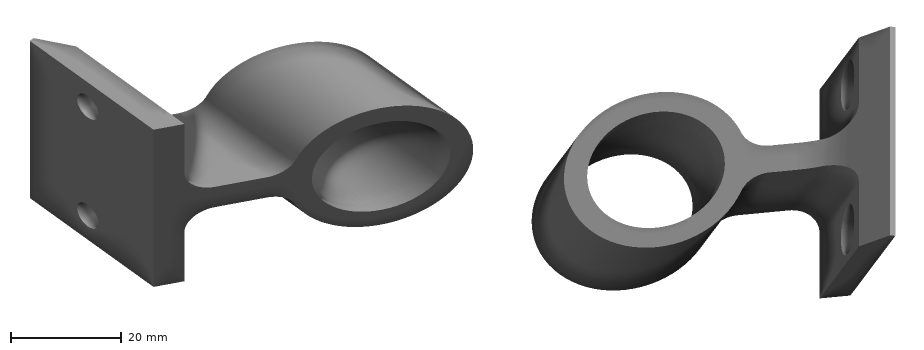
import cadquery as cq
import math

plate_thickness = 5.0
plate_height = 40.5
edge_thickness = 1.0

socket_radius = 15.0
bore_radius = 11.2
socket_y = 36.95
web_thickness = 5.2
fillet_radius = 5.0

total_length = 62
steep_angle = math.radians(60)
shallow_angle = math.radians(30)
socket_length = 23.0
bend_radius = 20.0

screw_radius = 2.8
screw_x = 15.0
screw_spacing = 28.0
countersink_depth = 2.0

total_depth = socket_y + socket_radius
plate_length = total_length - total_depth / math.tan(steep_angle)


def socket_profile():
    """Plate, web and socket as one section, constant along X."""
    section = cq.Workplane("YZ")
    plate = section.center(plate_thickness / 2, 0).rect(plate_thickness, plate_height).extrude(total_length)
    web = section.center(socket_y / 2, 0).rect(socket_y, web_thickness).extrude(total_length)
    socket = section.center(socket_y, 0).circle(socket_radius).extrude(total_length)
    bore = section.center(socket_y, 0).circle(bore_radius).extrude(total_length)
    corner_box = cq.selectors.BoxSelector(
        (0, plate_thickness / 2, -web_thickness),
        (total_length, socket_y - bore_radius, web_thickness),
    )
    body = plate.union(web).union(socket)
    return body.edges("|X").edges(corner_box).fillet(fillet_radius).cut(bore)


def slanted_outline():
    """Outline seen along Z: two parallel steep ends, with a shallow bend down to the plate edge."""
    socket_left = total_length - socket_length
    steep = math.tan(steep_angle)
    shallow = math.tan(shallow_angle)
    bend_x = (edge_thickness - total_depth + steep * socket_left) / (steep - shallow)
    bend_y = edge_thickness + shallow * bend_x
    setback = bend_radius * math.tan((steep_angle - shallow_angle) / 2)

    outline = (
        cq.Workplane("XY")
        .workplane(offset=-plate_height / 2)
        .moveTo(0, 0)
        .lineTo(plate_length, 0)
        .lineTo(total_length, total_depth)
        .lineTo(socket_left, total_depth)
        .lineTo(bend_x + setback * math.cos(steep_angle), bend_y + setback * math.sin(steep_angle))
        .radiusArc(
            (bend_x - setback * math.cos(shallow_angle), bend_y - setback * math.sin(shallow_angle)),
            bend_radius,
        )
        .lineTo(0, edge_thickness)
        .close()
    )
    return outline.extrude(plate_height)


def screw_hole(z):
    """Screw hole at height z, widening into a countersink towards the socket."""
    hole = cq.Workplane("XZ").center(screw_x, z).circle(screw_radius).extrude(-plate_thickness)
    countersink = cq.Solid.makeCone(
        screw_radius,
        screw_radius + countersink_depth,
        countersink_depth,
        pnt=cq.Vector(screw_x, plate_thickness - countersink_depth, z),
        dir=cq.Vector(0, 1, 0),
    )
    return hole.union(cq.Workplane(countersink))


result = socket_profile().intersect(slanted_outline())
for hole_z in (-screw_spacing / 2, screw_spacing / 2):
    result = result.cut(screw_hole(hole_z))